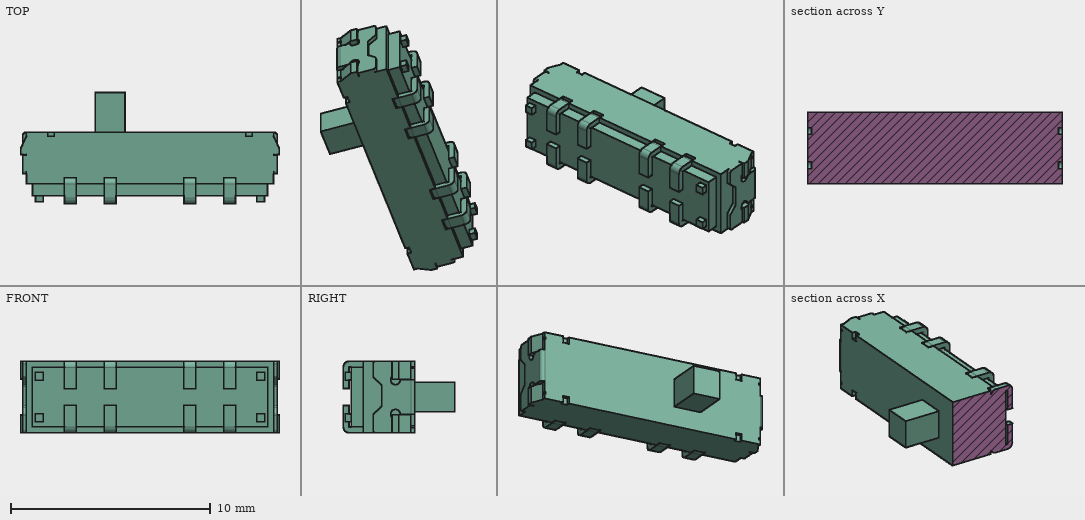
import cadquery as cq

OVERLAP = 0.1

SHELL_LENGTH = 12.4
SHELL_DEPTH = 2.6
HEIGHT = 3.6
SHEET = 0.2
BASE_LENGTH = 11.8
BASE_HEIGHT = 3.0
BASE_FRONT = -3.2
HALF_LENGTH = SHELL_LENGTH / 2
HALF_HEIGHT = HEIGHT / 2

LEVER_X = -2.0
LEVER_SIZE = 1.5
LEVER_REACH = 2.0

POST_SIZE = 0.4
POST_X = 5.55
POST_Z = 1.05
POST_FRONT = -3.5

TERMINAL_XS = (-4.0, -2.0, 2.0, 4.0)
TERMINAL_WIDTH = 0.6
TERMINAL_THICKNESS = 0.3
TERMINAL_FRONT = -3.6
TERMINAL_REAR = -SHELL_DEPTH + TERMINAL_THICKNESS
TERMINAL_TIP_Z = 0.42

FLAP_HALF_WIDTH = 0.86
FLAP_FRONT = -1.67
WING_REAR = -1.16
WING_FRONT = -2.1
RECESS_BOTTOM_Z = -0.87
RECESS_TOP_Z = 1.0
RECESS_SLOPE_HEIGHT = 0.4
FLAP_CORNER_RADIUS = 0.12
RELIEF_RADIUS = 0.24
RELIEF_Y = -0.98

TAB_REACH = 0.3
TAB_SLOPE_END = -0.82
TAB_FRONT = -1.13
TAB_INNER_Z = 0.9

NOTCH_X = 4.97
NOTCH_WIDTH = 0.34
NOTCH_FLOOR_Z = 1.45
GROOVE_WIDTH = 0.08
GROOVE_DEPTH = 0.07


def block(x_range, y_range, z_range):
    """Axis-aligned box from its limits along X, Y and Z."""
    (x0, x1), (y0, y1), (z0, z1) = x_range, y_range, z_range
    return cq.Workplane("XY").box(x1 - x0, y1 - y0, z1 - z0, centered=False).translate((x0, y0, z0))


def around(centre, size):
    """Limits of a span of the given size about a centre."""
    return (centre - size / 2, centre + size / 2)


def with_mirror(solid, plane):
    """Solid joined with its mirror image in a plane through the origin."""
    return solid.union(solid.mirror(plane))


def make_body():
    shell = block(around(0, SHELL_LENGTH), (-SHELL_DEPTH, 0), around(0, HEIGHT))
    base = block(around(0, BASE_LENGTH), (BASE_FRONT, -SHELL_DEPTH + OVERLAP), around(0, BASE_HEIGHT))
    lever = block(around(LEVER_X, LEVER_SIZE), (-OVERLAP, LEVER_REACH), around(0, LEVER_SIZE))
    return shell.union(base).union(lever)


def make_posts():
    posts = cq.Workplane("XY")
    for x in (-POST_X, POST_X):
        for z in (-POST_Z, POST_Z):
            post = block(around(x, POST_SIZE), (POST_FRONT, BASE_FRONT + OVERLAP), around(z, POST_SIZE))
            posts = posts.union(post)
    return posts


def make_terminal_pockets():
    pockets = cq.Workplane("XY")
    for x in TERMINAL_XS:
        pocket = block(
            around(x, TERMINAL_WIDTH),
            (-SHELL_DEPTH, TERMINAL_REAR),
            (HALF_HEIGHT - TERMINAL_THICKNESS, HALF_HEIGHT),
        )
        pockets = pockets.union(with_mirror(pocket, "XY"))
    return pockets


def make_terminals():
    """Terminals on the top and bottom, each bent into the shell and over the base front."""
    terminals = cq.Workplane("XY")
    inner_z = HALF_HEIGHT - TERMINAL_THICKNESS
    inner_front = TERMINAL_FRONT + TERMINAL_THICKNESS
    for x in TERMINAL_XS:
        terminal = (
            cq.Workplane("YZ", origin=(x - TERMINAL_WIDTH / 2, 0, 0))
            .moveTo(TERMINAL_REAR, inner_z)
            .radiusArc((TERMINAL_REAR - TERMINAL_THICKNESS, HALF_HEIGHT), -TERMINAL_THICKNESS)
            .lineTo(inner_front, HALF_HEIGHT)
            .radiusArc((TERMINAL_FRONT, inner_z), -TERMINAL_THICKNESS)
            .lineTo(TERMINAL_FRONT, TERMINAL_TIP_Z)
            .lineTo(inner_front, TERMINAL_TIP_Z)
            .lineTo(inner_front, inner_z)
            .close()
            .extrude(TERMINAL_WIDTH)
        )
        terminals = terminals.union(with_mirror(terminal, "XY"))
    return terminals


def make_flap():
    """Folded flap with two wings on the +X end of the shell."""
    outer_x = HALF_LENGTH + SHEET
    flap = block((HALF_LENGTH - OVERLAP, outer_x), (WING_FRONT, 0), around(0, 2 * FLAP_HALF_WIDTH))
    flap = flap.edges(">X and >Y").fillet(SHEET)
    wings = block((HALF_LENGTH - OVERLAP, outer_x), (WING_FRONT, WING_REAR), around(0, HEIGHT))
    flap = flap.union(wings).cut(make_flap_recess())
    flap = flap.edges("|X and <Y").fillet(FLAP_CORNER_RADIUS)
    return flap.cut(make_reliefs())


def make_flap_recess():
    """Cutter for the sloped recess in the front edge of the +X flap."""
    recess = (
        cq.Workplane("YZ", origin=(HALF_LENGTH - OVERLAP, 0, 0))
        .moveTo(WING_FRONT, RECESS_BOTTOM_Z)
        .lineTo(FLAP_FRONT, RECESS_BOTTOM_Z + RECESS_SLOPE_HEIGHT)
        .lineTo(FLAP_FRONT, RECESS_TOP_Z - RECESS_SLOPE_HEIGHT)
        .lineTo(WING_FRONT, RECESS_TOP_Z)
        .close()
        .extrude(OVERLAP + SHEET)
    )
    return recess.edges("|X and >Y").fillet(FLAP_CORNER_RADIUS)


def make_reliefs():
    """Round holes at the inner corners of the slits beside the +X flap."""
    return (
        cq.Workplane("YZ", origin=(HALF_LENGTH, 0, 0))
        .pushPoints([(RELIEF_Y, -FLAP_HALF_WIDTH), (RELIEF_Y, FLAP_HALF_WIDTH)])
        .circle(RELIEF_RADIUS)
        .extrude(SHEET)
    )


def make_corner_tabs():
    """Sloped tabs above and below the +X flap."""
    tab = (
        cq.Workplane("XY", origin=(0, 0, TAB_INNER_Z))
        .moveTo(HALF_LENGTH - OVERLAP, -SHEET)
        .lineTo(HALF_LENGTH, -SHEET)
        .lineTo(HALF_LENGTH + TAB_REACH, TAB_SLOPE_END)
        .lineTo(HALF_LENGTH + TAB_REACH, TAB_FRONT)
        .lineTo(HALF_LENGTH - OVERLAP, TAB_FRONT)
        .close()
        .extrude(HALF_HEIGHT - TAB_INNER_Z)
    )
    return with_mirror(tab, "XY")


def make_rear_cuts():
    """Notches and end grooves in the rear plate, near all four of its corners."""
    rear_plate = (-SHEET, 0)
    notch = block(around(NOTCH_X, NOTCH_WIDTH), rear_plate, (NOTCH_FLOOR_Z, HALF_HEIGHT))
    groove = block(
        (HALF_LENGTH - GROOVE_DEPTH, HALF_LENGTH),
        rear_plate,
        (NOTCH_FLOOR_Z, NOTCH_FLOOR_Z + GROOVE_WIDTH),
    )
    return with_mirror(with_mirror(notch.union(groove), "XY"), "YZ")


result = (
    make_body()
    .cut(make_terminal_pockets())
    .cut(make_rear_cuts())
    .union(make_posts())
    .union(make_terminals())
    .union(with_mirror(make_flap().union(make_corner_tabs()), "YZ"))
)